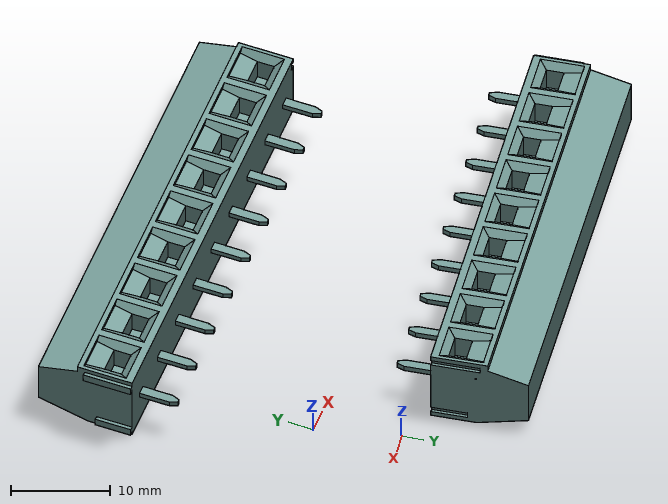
import cadquery as cq


TERMINAL_COUNT = 9
PITCH = 5.0
BODY_LENGTH = TERMINAL_COUNT * PITCH

BODY_DEPTH = 10.1
BODY_HEIGHT = 8.1
SHELF_DEPTH = 5.9
SHELF_STEP = 0.7
BASE_DEPTH = 4.75
BACK_BOTTOM = 1.45
BACK_TOP = 6.3

FUNNEL_WIDTH = 4.25
FUNNEL_FRONT = 0.8
FUNNEL_BACK = 5.35
FUNNEL_DEPTH = 0.6
FUNNEL_INSET = 0.8
FUNNEL_BACK_INSET = 1.93
FUNNEL_BACK_STEP = 0.4
SHAFT_DEPTH = 3.0

PIN_LENGTH = 4.0
PIN_WIDTH = 0.95
PIN_THICKNESS = 0.6
PIN_HEIGHT = 3.9
PIN_TAPER = 0.8
PIN_TIP_WIDTH = 0.35

RAIL_PROJECTION = 0.48
RAIL_WIDTH = 0.9
RAIL_ROOT_WIDTH = 0.6
RAIL_EDGE_DISTANCE = 0.82
UPPER_RAIL_LENGTH = 5.1
LOWER_RAIL_LENGTH = 3.8
RAILS = [
    (BODY_HEIGHT - RAIL_EDGE_DISTANCE, UPPER_RAIL_LENGTH),
    (RAIL_EDGE_DISTANCE, LOWER_RAIL_LENGTH),
]

PIP_PROJECTION = 0.02
PIP_RADIUS = 0.08
PIP_Y = 4.65
PIP_Z = 6.05


def make_body():
    """Extrude the cross-section along the row."""
    section = [
        (0, 0),
        (BASE_DEPTH, 0),
        (BODY_DEPTH, BACK_BOTTOM),
        (BODY_DEPTH, BACK_TOP),
        (SHELF_DEPTH, BODY_HEIGHT - SHELF_STEP),
        (SHELF_DEPTH, BODY_HEIGHT),
        (0, BODY_HEIGHT),
    ]
    return cq.Workplane("YZ").polyline(section).close().extrude(BODY_LENGTH)


def make_funnel(x_center):
    """Tapered mouth with a straight shaft below it, to be cut from the flat top."""
    half_width = FUNNEL_WIDTH / 2
    half_shaft = half_width - FUNNEL_INSET
    floor = BODY_HEIGHT - FUNNEL_DEPTH
    shaft_front = FUNNEL_FRONT + FUNNEL_INSET
    shaft_back = FUNNEL_BACK - FUNNEL_BACK_INSET
    side_section = [
        (FUNNEL_FRONT, BODY_HEIGHT),
        (shaft_front, floor),
        (shaft_back, floor),
        (FUNNEL_BACK, BODY_HEIGHT - FUNNEL_BACK_STEP),
        (FUNNEL_BACK, BODY_HEIGHT),
    ]
    cross_section = [
        (x_center - half_width, BODY_HEIGHT),
        (x_center - half_shaft, floor),
        (x_center + half_shaft, floor),
        (x_center + half_width, BODY_HEIGHT),
    ]
    lengthwise = cq.Workplane("YZ").polyline(side_section).close().extrude(BODY_LENGTH)
    crosswise = cq.Workplane("XZ").polyline(cross_section).close().extrude(-BODY_DEPTH)
    shaft_height = SHAFT_DEPTH - FUNNEL_DEPTH
    shaft_base = cq.Workplane("XY", origin=(x_center, shaft_front, floor - shaft_height))
    shaft = shaft_base.box(
        2 * half_shaft,
        shaft_back - shaft_front,
        shaft_height,
        centered=(True, False, False),
    )
    return lengthwise.intersect(crosswise).union(shaft)


def make_pin(x_center):
    """Flat pin with a tip tapered in X."""
    half_width = PIN_WIDTH / 2
    half_tip = PIN_TIP_WIDTH / 2
    taper_start = PIN_TAPER - PIN_LENGTH
    outline = [
        (x_center - half_width, 0),
        (x_center - half_width, taper_start),
        (x_center - half_tip, -PIN_LENGTH),
        (x_center + half_tip, -PIN_LENGTH),
        (x_center + half_width, taper_start),
        (x_center + half_width, 0),
    ]
    base = cq.Workplane("XY", origin=(0, 0, PIN_HEIGHT - PIN_THICKNESS / 2))
    return base.polyline(outline).close().extrude(PIN_THICKNESS)


def make_rail(x_root, z_center, length):
    """Dovetail prism that widens from its root toward -X and runs back from the mounting face."""
    half_root = RAIL_ROOT_WIDTH / 2
    half_width = RAIL_WIDTH / 2
    section = [
        (x_root, z_center - half_root),
        (x_root - RAIL_PROJECTION, z_center - half_width),
        (x_root - RAIL_PROJECTION, z_center + half_width),
        (x_root, z_center + half_root),
    ]
    return cq.Workplane("XZ").polyline(section).close().extrude(-length)


def make_pip():
    """Tiny round pip standing on the right end."""
    return (
        cq.Workplane("YZ", origin=(BODY_LENGTH, 0, 0))
        .center(PIP_Y, PIP_Z)
        .circle(PIP_RADIUS)
        .extrude(PIP_PROJECTION)
    )


result = make_body()

for index in range(TERMINAL_COUNT):
    terminal_x = (index + 0.5) * PITCH
    result = result.cut(make_funnel(terminal_x)).union(make_pin(terminal_x))

for rail_z, rail_length in RAILS:
    result = result.union(make_rail(0, rail_z, rail_length))
    result = result.cut(make_rail(BODY_LENGTH, rail_z, rail_length))

result = result.union(make_pip())